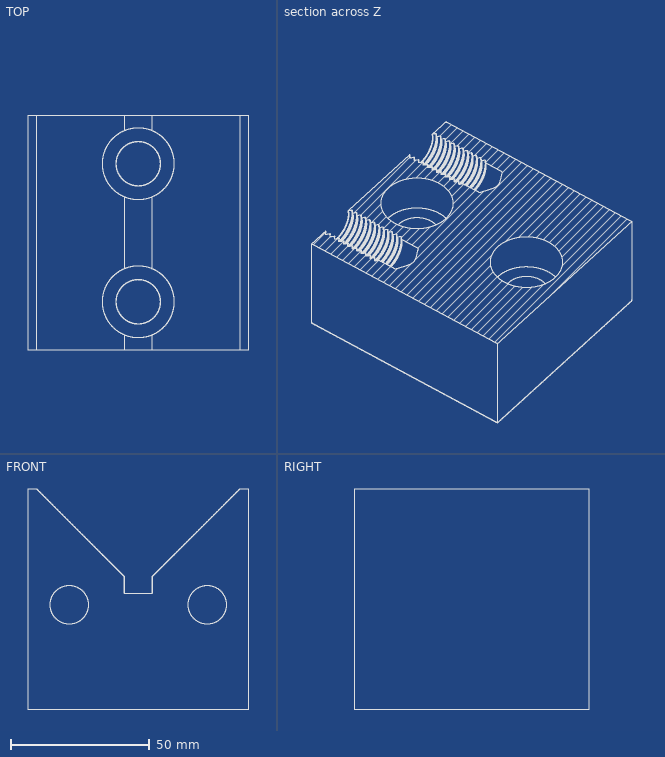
import cadquery as cq
import math

width = 80.0
length = 85.0
height = 80.0

slot_width = 10.0
slot_depth = 6.0
v_depth = 31.8
v_flank_angle = 45.0

mount_spacing = 50.0
mount_hole_diameter = 16.0
counterbore_diameter = 26.0
counterbore_floor_height = 25.0

tap_spacing = 50.0
tap_height = 38.0
tap_diameter = 13.9
tap_depth = 32.0
tap_point_angle = 118.0
thread_diameter = 16.0
thread_pitch = 2.0
thread_flat = 0.25
thread_count = 12

def v_block():
    """Extrude the block outline with the V and its relief slot."""
    v_root = height - v_depth
    slot_half = slot_width / 2
    v_half = slot_half + v_depth * math.tan(math.radians(v_flank_angle))
    outline = [
        (-width / 2, 0),
        (width / 2, 0),
        (width / 2, height),
        (v_half, height),
        (slot_half, v_root),
        (slot_half, v_root - slot_depth),
        (-slot_half, v_root - slot_depth),
        (-slot_half, v_root),
        (-v_half, height),
        (-width / 2, height),
    ]
    return cq.Workplane("XZ").polyline(outline).close().extrude(length / 2, both=True)

def mount_hole(y):
    """Cutter for a vertical through hole with a counterbore open to the V."""
    bore = cq.Workplane("XY").center(0, y).circle(mount_hole_diameter / 2).extrude(height)
    counterbore = (
        cq.Workplane("XY", origin=(0, y, counterbore_floor_height))
        .circle(counterbore_diameter / 2)
        .extrude(height - counterbore_floor_height)
    )
    return bore.union(counterbore)

def threaded_hole(x):
    """Cutter for a blind hole with a conical end and ring-shaped thread grooves."""
    bore_radius = tap_diameter / 2
    root_radius = thread_diameter / 2
    point_length = bore_radius / math.tan(math.radians(tap_point_angle / 2))
    flank = (thread_pitch - 3 * thread_flat) / 2

    section = [(0, 0), (bore_radius, 0)]
    for groove in range(thread_count):
        start = groove * thread_pitch + thread_flat
        section += [
            (bore_radius, start),
            (root_radius, start + flank),
            (root_radius, start + flank + thread_flat),
            (bore_radius, start + thread_pitch - thread_flat),
        ]
    section += [(bore_radius, tap_depth), (0, tap_depth + point_length)]
    section_plane = cq.Plane(origin=(x, -length / 2, tap_height), xDir=(1, 0, 0), normal=(0, 0, 1))
    return cq.Workplane(section_plane).polyline(section).close().revolve(360, (0, 0), (0, 1))

result = v_block()
for side in (-1, 1):
    result = result.cut(mount_hole(side * mount_spacing / 2))
    result = result.cut(threaded_hole(side * tap_spacing / 2))